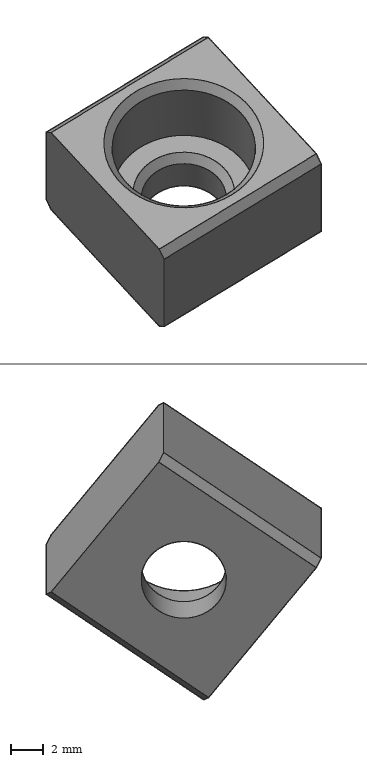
import cadquery as cq

side = 12.0
height = 8.0
chamfer = 0.5

pocket_diameter = 8.75
pocket_depth = 5.2
hole_diameter = 5.2

floor_z = height - pocket_depth


def chamfered_bore(diameter, bottom_z, top_z):
    """Cutter for a round bore whose upper rim has a 45 degree chamfer."""
    radius = diameter / 2
    profile = [
        (0, bottom_z),
        (radius, bottom_z),
        (radius, top_z - chamfer),
        (radius + chamfer, top_z),
        (0, top_z),
    ]
    return cq.Workplane("XZ").polyline(profile).close().revolve(360, (0, 0), (0, 1))


block = (
    cq.Workplane("XY")
    .box(side, side, height, centered=(True, True, False))
    .edges("|Y")
    .chamfer(chamfer)
)

pocket = chamfered_bore(pocket_diameter, floor_z, height)
through_hole = chamfered_bore(hole_diameter, 0, floor_z)

result = block.cut(pocket).cut(through_hole)